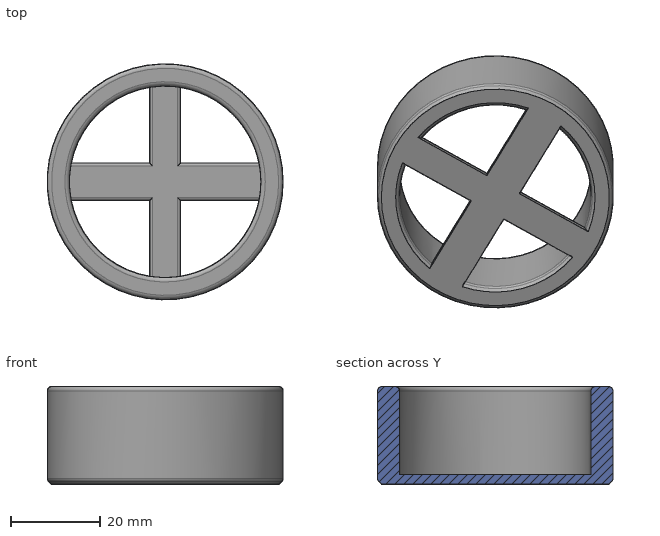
import cadquery as cq
import math

outer_radius = 26.5
bore_radius = 43.0 / 2
height = 22.0
rim_round = 1.0

bevel = 0.9
bevel_blend = 0.95

bar_width_along_x = 8.5
bar_width_along_y = 7.0
bar_thickness = 2.2
bar_round = 0.7


def make_ring():
    """Revolve the wall section, with its rounded upper rims and bevelled foot."""
    diagonal = math.sqrt(0.5)
    blend_height = bevel + bevel_blend * math.tan(math.pi / 8)
    mid_inset = bevel_blend * (1 - math.cos(math.pi / 8))
    mid_height = blend_height - bevel_blend * math.sin(math.pi / 8)
    end_inset = bevel_blend * (1 - diagonal)
    end_height = blend_height - bevel_blend * diagonal
    round_inset = rim_round * (1 - diagonal)
    section = (
        cq.Workplane("XZ")
        .moveTo(bore_radius + bevel, 0)
        .lineTo(outer_radius - bevel, 0)
        .lineTo(outer_radius - end_inset, end_height)
        .threePointArc(
            (outer_radius - mid_inset, mid_height),
            (outer_radius, blend_height),
        )
        .lineTo(outer_radius, height - rim_round)
        .threePointArc(
            (outer_radius - round_inset, height - round_inset),
            (outer_radius - rim_round, height),
        )
        .lineTo(bore_radius + rim_round, height)
        .threePointArc(
            (bore_radius + round_inset, height - round_inset),
            (bore_radius, height - rim_round),
        )
        .lineTo(bore_radius, blend_height)
        .threePointArc(
            (bore_radius + mid_inset, mid_height),
            (bore_radius + end_inset, end_height),
        )
        .close()
    )
    return section.revolve(360, (0, 0, 0), (0, 1, 0))


def make_cross():
    """Join two bars into a cross with rounded upper edges, ending inside the ring wall."""
    bar_length = outer_radius + bore_radius
    grounded = (True, True, False)
    bar_x = cq.Workplane("XY").box(bar_length, bar_width_along_x, bar_thickness, centered=grounded)
    bar_y = cq.Workplane("XY").box(bar_width_along_y, bar_length, bar_thickness, centered=grounded)
    return bar_x.union(bar_y).faces(">Z").edges().fillet(bar_round)


result = make_ring().union(make_cross())